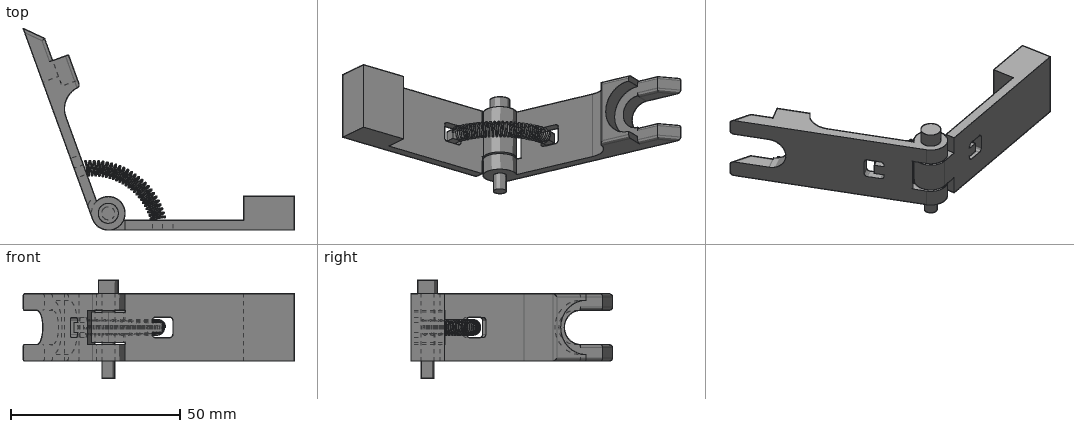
import cadquery as cq
import math

overall_length = 80.2
leaf_width = 20.0
leaf_thickness = 3.0
knuckle_radius = 5.0
opening_angle = 110.0

base_knuckle_width = 9.0
arm_knuckle_gap = 10.0
knuckle_clearance_radius = 6.5

block_length = 15.0
block_height = 10.0

arm_length = 60.0
hook_end = 48.05
hook_length = 10.0
hook_height = 5.0
fork_slot_width = 10.0
hook_recess_radius = 8.0
edge_round = 1.0

window_size = 6.0
window_centre = 16.05
window_corner_radius = 1.0
tab_length = 3.0
tab_width = 3.0

pin_length = 29.0
pin_radius = 1.9
pin_head_radius = 3.0
pin_head_height = 4.0

spring_bend_radius = 20.05
spring_bend_offset = 8.2
spring_span = 80.6
coil_radius = 2.1
wire_radius = 0.25
coil_turns = 24
points_per_turn = 12

outer_face = -knuckle_radius
inner_face = outer_face + leaf_thickness
lean = math.radians(opening_angle - 90)
tip_reach = arm_length * math.sin(lean) + knuckle_radius * math.cos(lean)
base_length = overall_length - tip_reach


def bar(x_start, x_end, y_start, y_end, width):
    """Block between the given X and Y limits, centred on Z = 0."""
    return (
        cq.Workplane("XY")
        .box(x_end - x_start, y_end - y_start, width, centered=(False, False, True))
        .translate((x_start, y_start, 0))
    )


def disc(radius, width):
    """Cylinder on the hinge axis, centred on Z = 0."""
    return cq.Workplane("XY").circle(radius).extrude(width / 2, both=True)


def spring_window():
    """Cutter for the square window, with the tab that holds the spring left standing."""
    window_start = window_centre - window_size / 2
    window_end = window_centre + window_size / 2
    opening = bar(window_start, window_end, outer_face, inner_face, window_size)
    opening = opening.edges("|Y").fillet(window_corner_radius)
    tab = bar(window_start, window_start + tab_length, outer_face, inner_face, tab_width)
    return opening.cut(tab)


def make_base():
    """Fixed leaf along +X with an end block and the middle knuckle."""
    leaf = bar(knuckle_radius, base_length, outer_face, inner_face, leaf_width)
    block = bar(base_length - block_length, base_length, outer_face, outer_face + block_height, leaf_width)
    neck = bar(0, knuckle_radius, outer_face, inner_face, base_knuckle_width)
    knuckle = disc(knuckle_radius, base_knuckle_width)
    body = leaf.union(block).union(neck).union(knuckle)
    return body.cut(disc(pin_radius, leaf_width)).cut(spring_window())


def arm_blank():
    """Side profile of the arm along +X, with its inner side towards +Y."""
    hook_start = hook_end - hook_length
    sweep_radius = hook_height - inner_face
    sweep_diagonal = sweep_radius * math.sqrt(0.5)
    sweep_centre = (hook_start - sweep_radius, hook_height)
    profile = (
        cq.Workplane("XY")
        .moveTo(0, outer_face)
        .lineTo(arm_length, outer_face)
        .lineTo(arm_length - knuckle_radius, 0)
        .lineTo(hook_end, 0)
        .lineTo(hook_end, hook_height)
        .lineTo(hook_start, hook_height)
        .threePointArc(
            (sweep_centre[0] + sweep_diagonal, sweep_centre[1] - sweep_diagonal),
            (sweep_centre[0], inner_face),
        )
        .lineTo(0, inner_face)
        .close()
    )
    return profile.extrude(leaf_width / 2, both=True)


def hook_bore(radius, y_start, y_end):
    """Cylinder across the arm, centred on the free end of the hook."""
    end_plane = cq.Workplane("XZ", origin=(hook_end, y_end, 0))
    return end_plane.circle(radius).extrude(y_end - y_start)


def round_arm_edges(body):
    """Round the long edges of the prongs and of the hook on the inner side."""
    prong_end = arm_length - knuckle_radius
    margin = edge_round / 2
    bevel_edges = cq.selectors.ParallelDirSelector(cq.Vector(1, -1, 0))
    prong_edges = cq.selectors.ParallelDirSelector(cq.Vector(1, 0, 0)) & cq.selectors.BoxSelector(
        (hook_end, -margin, -leaf_width), (prong_end, margin, leaf_width)
    )
    hook_edges = cq.selectors.BoxSelector(
        (0, hook_height - margin, -leaf_width), (hook_end - margin, hook_height + margin, leaf_width)
    )
    return body.edges(bevel_edges + prong_edges + hook_edges).fillet(edge_round)


def make_arm():
    """Swinging leaf with the fork, the recessed hook and the two outer knuckles."""
    fork_gap = bar(hook_end, arm_length, outer_face, hook_height, fork_slot_width)
    body = round_arm_edges(arm_blank().cut(fork_gap))
    body = body.cut(hook_bore(fork_slot_width / 2, outer_face, hook_height))
    body = body.cut(hook_bore(hook_recess_radius, 0, hook_height))
    body = body.union(disc(knuckle_radius, leaf_width))
    body = body.cut(disc(knuckle_clearance_radius, arm_knuckle_gap))
    body = body.cut(disc(pin_radius, leaf_width)).cut(spring_window())
    return body.mirror("XZ").rotate((0, 0, 0), (0, 0, 1), opening_angle)


def make_pin():
    """Hinge pin with a round head above the knuckles."""
    head_bottom = leaf_width / 2
    head_top = head_bottom + pin_head_height
    shank = cq.Workplane("XY", origin=(0, 0, head_top - pin_length)).circle(pin_radius).extrude(pin_length)
    head = cq.Workplane("XY", origin=(0, 0, head_bottom)).circle(pin_head_radius).extrude(pin_head_height)
    return shank.union(head)


def make_spring():
    """Coil spring bent to an arc that is symmetric between the two leaves."""
    bisector = math.radians(opening_angle / 2)
    span = math.radians(spring_span)
    centre_x = -spring_bend_offset * math.cos(bisector)
    centre_y = -spring_bend_offset * math.sin(bisector)

    def wire_point(t):
        bend = bisector + span * (t - 0.5)
        turn = 2 * math.pi * coil_turns * t
        reach = spring_bend_radius + coil_radius * math.cos(turn)
        return (
            centre_x + reach * math.cos(bend),
            centre_y + reach * math.sin(bend),
            coil_radius * math.sin(turn),
        )

    steps = coil_turns * points_per_turn
    path = cq.Workplane("XY").spline([wire_point(i / steps) for i in range(steps + 1)])
    first = cq.Vector(*wire_point(0))
    short_step = 0.0001
    ahead = cq.Vector(*wire_point(short_step)) - first
    section = cq.Workplane(cq.Plane(origin=first, xDir=(1, 0, 0), normal=ahead)).circle(wire_radius)
    return section.sweep(path, isFrenet=True)


base = make_base()
arm = make_arm()
pin = make_pin()
spring = make_spring()

result = cq.Compound.makeCompound([body.solids().val() for body in (base, arm, pin, spring)])